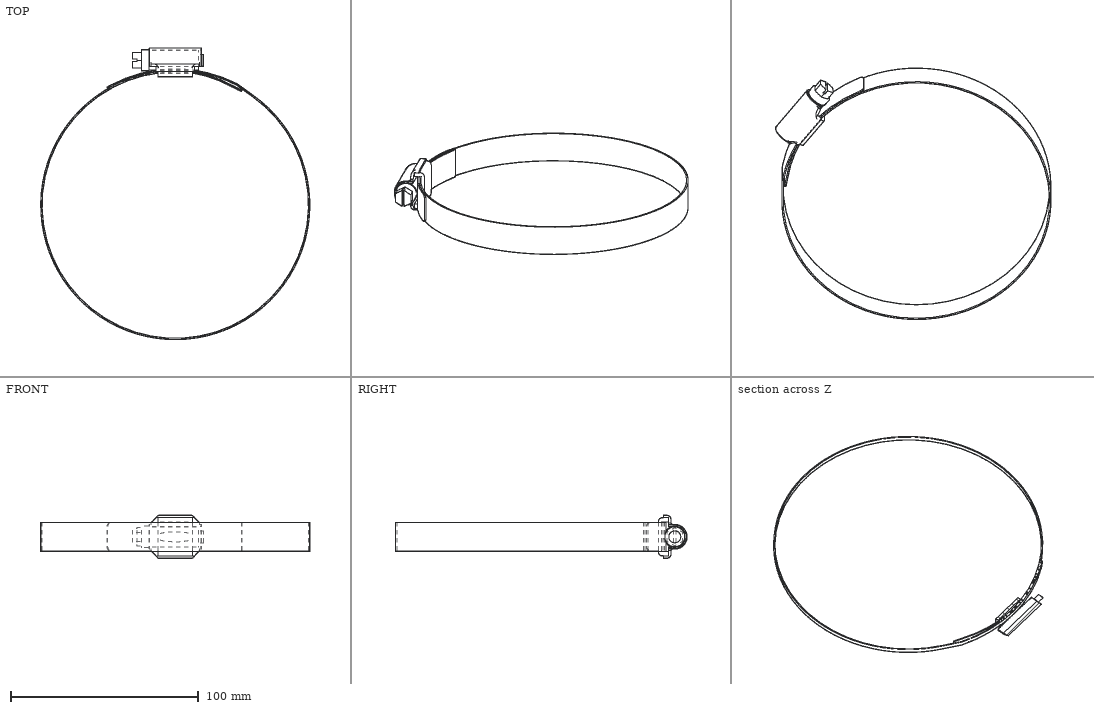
import cadquery as cq
import math


edge_margin = 0.1

ring_outer_radius = 71.69
band_thickness = 0.8
band_width = 15.5
layer_gap = 0.05
ring_inner_radius = ring_outer_radius - band_thickness
tail_inner_radius = ring_outer_radius + layer_gap
tail_outer_radius = tail_inner_radius + band_thickness
tail_corner_radius = 2.6

tail_end_angle = -30.1
seam_angle = 270
ramp_top_angle = 27.0
ramp_foot_angle = 35.0
dip_start_angle = 7.4
dip_middle_angle = 18.0
dip_end_angle = 25.5
inner_bend_angle = 27.3
inner_end_angle = 30.15

dip_middle_radius = 70.3
dip_end_radius = 69.8
inner_end_radius = 69.95

saddle_length = 18.6
saddle_bottom_y = 68.31
saddle_floor_top_y = 70.1
saddle_inner_width = band_width + 0.1
saddle_outer_width = 20.4
saddle_corner_radius = 2.2

housing_length = 28.0
housing_radius = 6.6
housing_top_y = 83.70
screw_axis_y = housing_top_y - housing_radius
bore_radius = 5.45
flange_top_y = 75.2
flange_bottom_y = 73.7
lip_bottom_y = 71.1
housing_width = 23.0
flange_round_radius = 2.5
flange_root_radius = 0.8
flange_root_length = 25.8
flange_tip_length = 18.2
flange_root_half_width = 7.4
flange_tip_corner_radius = 1.5
housing_end_chamfer = 0.3

hex_start_x = -22.86
collar_start_x = -18.0
collar_end_x = -housing_length / 2
body_end_x = 12.5
nub_end_x = 14.9
hex_across_flats = 8.36
collar_radius = 5.7
collar_edge_radius = 0.3
body_radius = 5.3
nub_radius = 3.2
slot_width = 1.2
slot_depth = 2.4


def ring_point(radius, angle):
    """Point at a radius and a clockwise angle from +Y."""
    turn = math.radians(angle)
    return cq.Vector(radius * math.sin(turn), radius * math.cos(turn), -band_width / 2)


def arc_on_ring(radius, start_angle, end_angle):
    """Arc about the ring axis."""
    middle_angle = (start_angle + end_angle) / 2
    return cq.Edge.makeThreePointArc(
        ring_point(radius, start_angle),
        ring_point(radius, middle_angle),
        ring_point(radius, end_angle),
    )


def band_face_edges(offset):
    """Edges of one face of the coil, at an offset from the inner face."""
    ring_radius = ring_inner_radius + offset
    tail_radius = tail_inner_radius + offset
    inner_end = ring_point(inner_end_radius + offset, inner_end_angle)
    inner_bend = ring_point(dip_end_radius + offset, inner_bend_angle)
    dip_end = ring_point(dip_end_radius + offset, dip_end_angle)
    dip_middle = ring_point(dip_middle_radius + offset, dip_middle_angle)
    dip_start = ring_point(ring_radius, dip_start_angle)
    ramp_foot = ring_point(ring_radius, ramp_foot_angle)
    ramp_top = ring_point(tail_radius, ramp_top_angle)
    return [
        cq.Edge.makeLine(inner_end, inner_bend),
        cq.Edge.makeLine(inner_bend, dip_end),
        cq.Edge.makeThreePointArc(dip_end, dip_middle, dip_start),
        arc_on_ring(ring_radius, dip_start_angle, seam_angle - 360),
        arc_on_ring(ring_radius, seam_angle, ramp_foot_angle),
        cq.Edge.makeLine(ramp_foot, ramp_top),
        arc_on_ring(tail_radius, ramp_top_angle, tail_end_angle),
    ]


def make_band():
    """Coiled strip with its two ends overlapping under the housing."""
    inner_end_edge = cq.Edge.makeLine(
        ring_point(inner_end_radius, inner_end_angle),
        ring_point(inner_end_radius + band_thickness, inner_end_angle),
    )
    tail_end_edge = cq.Edge.makeLine(
        ring_point(tail_inner_radius, tail_end_angle),
        ring_point(tail_outer_radius, tail_end_angle),
    )
    edges = band_face_edges(0) + band_face_edges(band_thickness) + [inner_end_edge, tail_end_edge]
    outline = cq.Wire.assembleEdges(edges)
    strip = cq.Workplane(cq.Solid.extrudeLinear(outline, [], cq.Vector(0, 0, band_width)))

    tail_middle = ring_point((tail_inner_radius + tail_outer_radius) / 2, tail_end_angle)
    corner_finder = cq.selectors.BoxSelector(
        (tail_middle.x - edge_margin, tail_middle.y - edge_margin, -band_width),
        (tail_middle.x + edge_margin, tail_middle.y + edge_margin, band_width),
    )
    rounded = strip.edges(corner_finder).fillet(tail_corner_radius)
    return rounded.cut(rod(collar_end_x, body_end_x, body_radius))


def rod(start_x, end_x, radius):
    """Cylinder on the screw axis."""
    return (
        cq.Workplane("YZ", origin=(start_x, screw_axis_y, 0))
        .circle(radius)
        .extrude(end_x - start_x)
    )


def block(length, bottom_y, top_y, width):
    """Box centred in X and Z between two heights in Y."""
    return cq.Workplane("XY").box(length, top_y - bottom_y, width).translate((0, (bottom_y + top_y) / 2, 0))


def make_saddle():
    """Channel that holds both band layers from inside the ring."""
    outside = (
        block(saddle_length, saddle_bottom_y, flange_bottom_y, saddle_outer_width)
        .edges("|X and <Y")
        .fillet(saddle_corner_radius)
    )
    channel = block(saddle_length, saddle_floor_top_y, flange_bottom_y, saddle_inner_width)
    return outside.cut(channel)


def make_flanges():
    """Flange plate with lips folded over the saddle walls, tapered in plan."""
    plate = (
        block(housing_length, lip_bottom_y, flange_top_y, housing_width)
        .edges("|X and >Y")
        .fillet(flange_round_radius)
        .cut(block(housing_length, lip_bottom_y, flange_bottom_y, saddle_outer_width))
    )
    tip = housing_width / 2
    root = flange_root_half_width
    plan = (
        cq.Workplane("XZ", origin=(0, flange_top_y, 0))
        .moveTo(-flange_tip_length / 2, tip)
        .lineTo(flange_tip_length / 2, tip)
        .lineTo(flange_root_length / 2, root)
        .lineTo(flange_root_length / 2, -root)
        .lineTo(flange_tip_length / 2, -tip)
        .lineTo(-flange_tip_length / 2, -tip)
        .lineTo(-flange_root_length / 2, -root)
        .lineTo(-flange_root_length / 2, root)
        .close()
        .extrude(flange_top_y - lip_bottom_y)
        .edges("|Y and (>Z or <Z)")
        .fillet(flange_tip_corner_radius)
    )
    return plate.intersect(plan)


def make_housing():
    """Arched tube around the screw, open towards the band, with side flanges."""
    arch = (
        rod(-housing_length / 2, housing_length / 2, housing_radius)
        .union(block(housing_length, flange_bottom_y, screw_axis_y, 2 * housing_radius))
        .faces("<X or >X")
        .edges(">Y")
        .chamfer(housing_end_chamfer)
    )
    below_flange = block(housing_length, screw_axis_y - housing_radius, flange_bottom_y, 2 * housing_radius)
    bore = rod(-housing_length / 2, housing_length / 2, bore_radius)
    mouth = block(housing_length, lip_bottom_y, screw_axis_y, 2 * bore_radius)
    shell = arch.cut(below_flange).union(make_flanges())
    root_finder = cq.selectors.BoxSelector(
        (-edge_margin, flange_top_y - edge_margin, -housing_radius - edge_margin),
        (edge_margin, flange_top_y + edge_margin, housing_radius + edge_margin),
    )
    return shell.edges(root_finder).fillet(flange_root_radius).cut(bore).cut(mouth)


def make_screw():
    """Slotted hexagon head with a collar, the worm body and an end nub."""
    hexagon = (
        cq.Workplane("YZ", origin=(hex_start_x, screw_axis_y, 0))
        .polygon(6, hex_across_flats, circumscribed=True)
        .extrude(collar_start_x - hex_start_x)
    )
    slot = (
        block(slot_depth, screw_axis_y - slot_width / 2, screw_axis_y + slot_width / 2, 2 * hex_across_flats)
        .translate((hex_start_x + slot_depth / 2, 0, 0))
    )
    collar = rod(collar_start_x, collar_end_x, collar_radius).faces("<X").edges().fillet(collar_edge_radius)
    body = rod(collar_end_x, body_end_x, body_radius)
    nub = rod(body_end_x, nub_end_x, nub_radius)
    return hexagon.cut(slot).union(collar).union(body).union(nub)


band = make_band()
saddle = make_saddle()
housing = make_housing()
screw = make_screw()

result = cq.Compound.makeCompound([band.val(), saddle.val(), housing.val(), screw.val()])